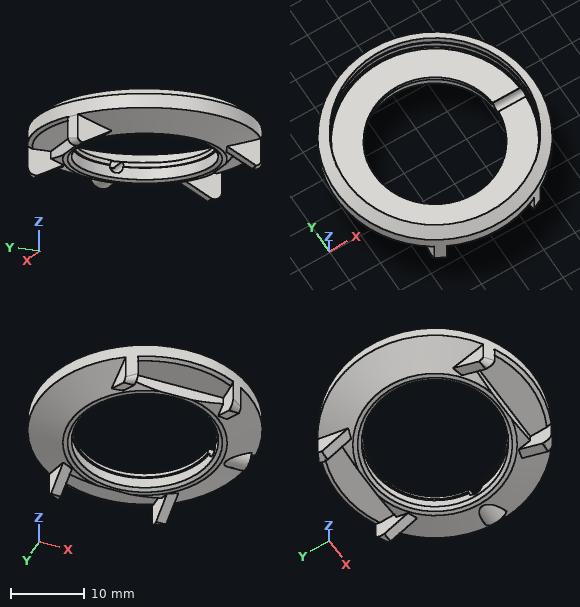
import cadquery as cq
import math

TOTAL_HEIGHT = 7.3
CONE_BOTTOM_Z = 1.9
BAND_BOTTOM_Z = 4.0
BAND_TOP_Z = 6.0
FLARE_TOP_Z = 2.25
LIP_BOTTOM_Z = 3.9
FLOOR_Z = 4.58
LOWER_STEP_Z = 5.1
UPPER_STEP_Z = 6.15
UPPER_STEP_HEIGHT = 0.1

OUTER_DIAMETER = 32.0
CONE_BOTTOM_DIAMETER = 22.4
LIP_DIAMETER = 19.5
LOWER_BORE_DIAMETER = 20.0
FLARE_DIAMETER = 21.1
FLOOR_DIAMETER = 28.3
MIDDLE_RECESS_DIAMETER = 28.55
TOP_RECESS_DIAMETER = 28.75

TUBE_END_X = 15.0
TUBE_Z = 3.95
TUBE_DIAMETER = 3.6
CHANNEL_DIAMETER = 2.0

LEG_INNER_X = 7.0
LEG_OUTER_X = 8.5
LEG_TIP_INNER_Y = 12.9
GUSSET_Y = 8.65
GUSSET_Z = 2.2
LEG_TIP_RADIUS = 1.0
POCKET_WALL_Y = 10.95
POCKET_TOP_Z = 3.7

OUTER_RADIUS = OUTER_DIAMETER / 2


def disc(diameter, bottom_z, top_z):
    """Solid cylinder on the ring axis between two heights."""
    return cq.Workplane("XY").workplane(offset=bottom_z).circle(diameter / 2).extrude(top_z - bottom_z)


def revolve_profile(points):
    """Solid of revolution about Z from a closed outline of (radius, z) points."""
    return cq.Workplane("XZ").polyline(points).close().revolve(360, (0, 0), (0, 1))


def x_rod(diameter, start_x, end_x):
    """Solid cylinder parallel to X on the tube axis."""
    return (
        cq.Workplane("YZ", origin=(start_x, 0, TUBE_Z))
        .circle(diameter / 2)
        .extrude(end_x - start_x)
    )


def make_ring_blank():
    """Band with a chamfered top and a conical underside, still solid inside."""
    profile = [
        (0, CONE_BOTTOM_Z),
        (CONE_BOTTOM_DIAMETER / 2, CONE_BOTTOM_Z),
        (OUTER_RADIUS, BAND_BOTTOM_Z),
        (OUTER_RADIUS, BAND_TOP_Z),
        (TOP_RECESS_DIAMETER / 2, TOTAL_HEIGHT),
        (0, TOTAL_HEIGHT),
    ]
    return revolve_profile(profile)


def make_bores():
    """Stepped recess above the floor, and the bore below it with a flared exit."""
    profile = [
        (0, CONE_BOTTOM_Z),
        (FLARE_DIAMETER / 2, CONE_BOTTOM_Z),
        (LOWER_BORE_DIAMETER / 2, FLARE_TOP_Z),
        (LOWER_BORE_DIAMETER / 2, LIP_BOTTOM_Z),
        (LIP_DIAMETER / 2, LIP_BOTTOM_Z),
        (LIP_DIAMETER / 2, FLOOR_Z),
        (FLOOR_DIAMETER / 2, FLOOR_Z),
        (FLOOR_DIAMETER / 2, LOWER_STEP_Z),
        (MIDDLE_RECESS_DIAMETER / 2, LOWER_STEP_Z),
        (MIDDLE_RECESS_DIAMETER / 2, UPPER_STEP_Z - UPPER_STEP_HEIGHT),
        (TOP_RECESS_DIAMETER / 2, UPPER_STEP_Z),
        (TOP_RECESS_DIAMETER / 2, TOTAL_HEIGHT),
        (0, TOTAL_HEIGHT),
    ]
    return revolve_profile(profile)


def make_pocket():
    """Clearance between the two +Y legs, open downward and outward."""
    return cq.Workplane("XY").box(
        2 * LEG_INNER_X, OUTER_RADIUS, POCKET_TOP_Z, centered=(True, False, False)
    ).translate((0, POCKET_WALL_Y, 0))


def make_leg_tip_cutter():
    """Waste outside the rounded tip edge, lying along the band's tangent at the leg's inner corner."""
    corner_y = math.sqrt(OUTER_RADIUS**2 - LEG_INNER_X**2)
    tangent_angle = math.degrees(math.atan2(LEG_INNER_X, corner_y))
    reach = 2 * (LEG_OUTER_X - LEG_INNER_X)
    cutter = (
        cq.Workplane("YZ")
        .moveTo(-LEG_TIP_RADIUS, 0)
        .radiusArc((0, LEG_TIP_RADIUS), -LEG_TIP_RADIUS)
        .lineTo(reach, LEG_TIP_RADIUS)
        .lineTo(reach, 0)
        .close()
        .extrude(reach, both=True)
    )
    return cutter.rotate((0, 0, 0), (0, 0, 1), -tangent_angle).translate((LEG_INNER_X, corner_y, 0))


def make_leg():
    """Gusseted leg on the +X +Y side, flush with the outside of the band."""
    profile = [
        (LEG_TIP_INNER_Y, 0),
        (GUSSET_Y, GUSSET_Z),
        (GUSSET_Y, BAND_BOTTOM_Z),
        (OUTER_RADIUS, BAND_BOTTOM_Z),
        (OUTER_RADIUS, 0),
    ]
    leg = (
        cq.Workplane("YZ", origin=(LEG_INNER_X, 0, 0))
        .polyline(profile)
        .close()
        .extrude(LEG_OUTER_X - LEG_INNER_X)
    )
    return leg.intersect(disc(OUTER_DIAMETER, 0, BAND_BOTTOM_Z)).cut(make_leg_tip_cutter())


def make_tube():
    """Tube under the floor, reaching from the bore to past the cone."""
    return x_rod(TUBE_DIAMETER, 0, TUBE_END_X).cut(disc(FLOOR_DIAMETER, FLOOR_Z, TOTAL_HEIGHT))


pocket = make_pocket()
body = make_ring_blank().cut(pocket).cut(pocket.mirror("XZ"))

channel = x_rod(CHANNEL_DIAMETER, 0, OUTER_RADIUS)
body = body.union(make_tube()).cut(make_bores()).cut(channel)

right_back_leg = make_leg()
back_legs = right_back_leg.union(right_back_leg.mirror("YZ"))
body = body.union(back_legs).union(back_legs.mirror("XZ"))

result = body